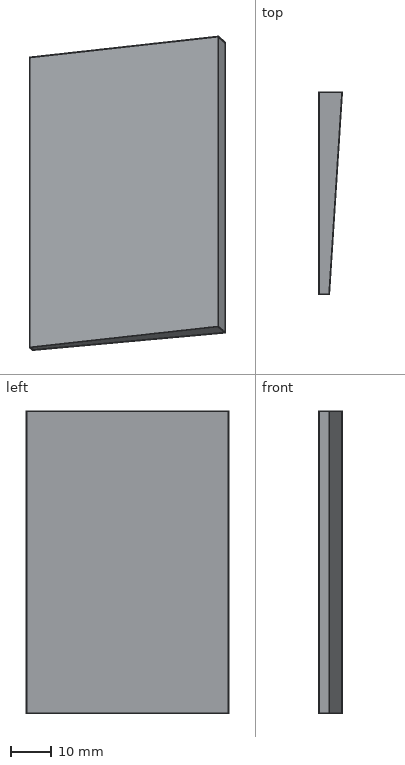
import cadquery as cq

length_y = 50.0
height_z = 74.7
thick_end = 5.8
thin_end = 2.6

wedge_section = [
    (0, 0),
    (thin_end, 0),
    (thick_end, length_y),
    (0, length_y),
]

result = cq.Workplane("XY").polyline(wedge_section).close().extrude(height_z)